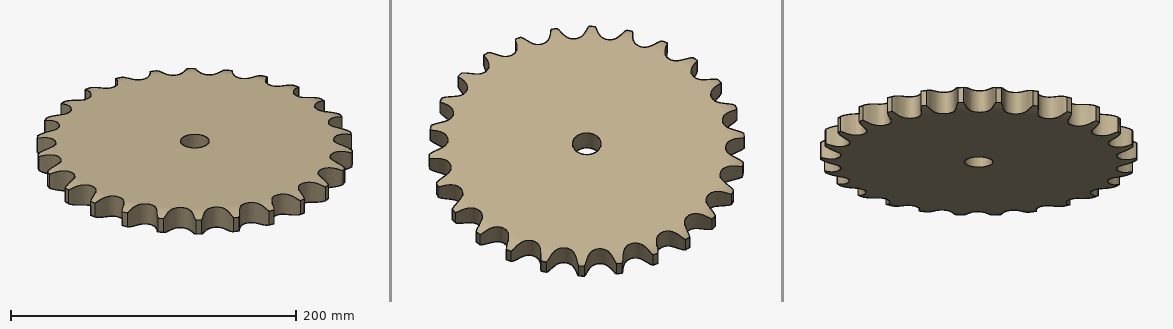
import cadquery as cq
import math

tooth_count = 26
outer_diameter = 221.5
pitch_diameter = 210.7
roller_diameter = 16.0
thickness = 16.2
bore_diameter = 20.0
flat_face_diameter = 199.5

outer_radius = outer_diameter / 2
pitch_radius = pitch_diameter / 2
half_thickness = thickness / 2
tooth_angle = 360 / tooth_count
chain_pitch = pitch_diameter * math.sin(math.pi / tooth_count)

seat_radius = roller_diameter / 2
working_radius = 1.3025 * roller_diameter
seat_half_angle = math.radians(55 - 60 / tooth_count)
working_angle = math.radians(18 - 56 / tooth_count)
topping_angle = math.radians(17 - 64 / tooth_count)
flank_length = roller_diameter * (1.4 * math.sin(topping_angle) - 0.8 * math.sin(working_angle))
topping_radius = roller_diameter * (0.8 * math.cos(working_angle) + 1.4 * math.cos(topping_angle) - 1.3025)
topping_sweep = math.radians(25)


def offset(point, distance, angle):
    """Move a point toward the gap floor (angle 0) or toward the tooth on its side (90 degrees)."""
    return (point[0] - distance * math.cos(angle), point[1] + distance * math.sin(angle))


def mirrored(point):
    return (point[0], -point[1])


def blank():
    """Disc with a bore, whose rim curves away tangentially from both flat faces."""
    flat_radius = flat_face_diameter / 2
    side_radius = chain_pitch

    def side_point(radius):
        run = radius - flat_radius
        drop = side_radius - math.sqrt(side_radius**2 - run**2)
        return (radius, half_thickness - drop)

    rim_middle = side_point((flat_radius + outer_radius) / 2)
    rim_edge = side_point(outer_radius)
    bore_radius = bore_diameter / 2
    return (
        cq.Workplane("XZ")
        .moveTo(bore_radius, -half_thickness)
        .lineTo(flat_radius, -half_thickness)
        .threePointArc(mirrored(rim_middle), mirrored(rim_edge))
        .lineTo(*rim_edge)
        .threePointArc(rim_middle, (flat_radius, half_thickness))
        .lineTo(bore_radius, half_thickness)
        .close()
        .revolve(360, (0, 0, 0), (0, 1, 0))
    )


def tooth_gap():
    """Cutter for one tooth gap, centred on the +X axis."""
    flank_angle = seat_half_angle + working_angle
    roller_center = (pitch_radius, 0)
    seat_floor = offset(roller_center, seat_radius, 0)
    seat_end = offset(roller_center, seat_radius, seat_half_angle)

    working_center = offset(seat_end, -working_radius, seat_half_angle)
    working_middle = offset(working_center, working_radius, seat_half_angle + working_angle / 2)
    working_end = offset(working_center, working_radius, flank_angle)

    flank_end = offset(working_end, flank_length, flank_angle + math.pi / 2)

    topping_center = offset(flank_end, topping_radius, flank_angle)
    topping_middle = offset(topping_center, -topping_radius, flank_angle - topping_sweep / 2)
    topping_end = offset(topping_center, -topping_radius, flank_angle - topping_sweep)

    return (
        cq.Workplane("XY")
        .moveTo(*mirrored(topping_end))
        .threePointArc(mirrored(topping_middle), mirrored(flank_end))
        .lineTo(*mirrored(working_end))
        .threePointArc(mirrored(working_middle), mirrored(seat_end))
        .threePointArc(seat_floor, seat_end)
        .threePointArc(working_middle, working_end)
        .lineTo(*flank_end)
        .threePointArc(topping_middle, topping_end)
        .close()
        .extrude(thickness, both=True)
    )


gap = tooth_gap()
result = blank()
for index in range(tooth_count):
    result = result.cut(gap.rotate((0, 0, 0), (0, 0, 1), (index + 0.5) * tooth_angle))